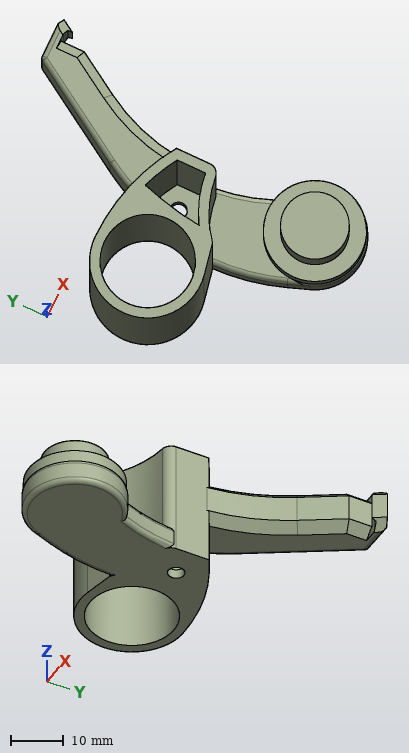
import cadquery as cq
import math


tube_radius = 11.0
bore_radius = 9.0
body_height = 24.5
wall = 2.0
body_end_x = 22.0
body_top_radius = 40.0
body_top_center = (0.0, tube_radius - body_top_radius)
body_flat_angle = math.radians(11.2)
waist_x = 8.46
scoop_center = (22.1, -24.7)
scoop_radius = 20.2
body_corner_radius = 2.0

pocket_floor = 2.0
pocket_side_center = (74.85, -13.1)
pocket_side_radius = 64.9
screw_hole_radius = 1.65
screw_hole_center = (15.55, 0.95)

outer_edge_center = (53.04, -8.51)
outer_edge_radius = 44.65
inner_edge_center = (60.2, 0.15)
inner_edge_radius = 38.4
edge_round = 1.0

arm_thickness = 5.0
stud_center = (22.0, -24.5)
foot_radius = 10.0
arm_inner_end_y = -17.0
flange_radius = 9.75
flange_top = 7.5
stud_radius = 6.5
stud_top = 12.5

latch_bottom = 9.75
latch_thickness = 9.5
latch_angle = math.radians(58.2)
latch_end_y = 35.47
latch_inner_x = 32.75
latch_chamfer = 2.0
hook_thickness = 1.85
hook_bend_x = 33.8
barb_root = (35.05, 33.3)
barb_point = (35.15, 32.35)
hook_tip = (36.71, 34.85)
hook_slope_x = 35.2


def point_on_circle(center, radius, angle):
    """Point of a circle at an angle measured from +X."""
    return (center[0] + radius * math.cos(angle), center[1] + radius * math.sin(angle))


def left_side_at_y(center, radius, y):
    """Point on the -X half of a circle at the given Y."""
    return (center[0] - math.sqrt(radius**2 - (y - center[1]) ** 2), y)


def upper_side_at_x(center, radius, x):
    """Point on the +Y half of a circle at the given X."""
    return (x, center[1] + math.sqrt(radius**2 - (x - center[0]) ** 2))


def circle_crossing(center_a, radius_a, center_b, radius_b, side):
    """Crossing of two circles, left (+1) or right (-1) of the line from a to b."""
    distance = math.dist(center_a, center_b)
    heading = math.atan2(center_b[1] - center_a[1], center_b[0] - center_a[0])
    cosine = (radius_a**2 + distance**2 - radius_b**2) / (2 * radius_a * distance)
    return point_on_circle(center_a, radius_a, heading + side * math.acos(cosine))


def arc_middle(center, radius, start, end):
    """Middle of the shorter arc between two points of a circle."""
    x = (start[0] + end[0]) / 2 - center[0]
    y = (start[1] + end[1]) / 2 - center[1]
    return point_on_circle(center, radius, math.atan2(y, x))


def arc_to(sketch, center, radius, start, end):
    """Extend an outline by the arc from start to end about center."""
    return sketch.threePointArc(arc_middle(center, radius, start, end), end)


def line_middle(start, end):
    """Middle of a straight line."""
    return ((start[0] + end[0]) / 2, (start[1] + end[1]) / 2)


def edges_at(solid, plan_points, heights):
    """Select the edges of a solid that pass through plan points at given heights."""
    picked = []
    for x, y in plan_points:
        for z in heights:
            picked += solid.edges(cq.NearestToPointSelector((x, y, z))).vals()
    return solid.newObject(picked)


def disc(center, radius, height):
    """Upright cylinder standing on the underside."""
    return cq.Workplane("XY").center(*center).circle(radius).extrude(height)


def make_body():
    """Tube drawn out to a blunt end by a curved top edge and a scooped lower edge."""
    crown = (0.0, tube_radius)
    tangent = point_on_circle((0, 0), tube_radius, body_flat_angle - math.pi / 2)
    waist = (waist_x, tangent[1] + (waist_x - tangent[0]) * math.tan(body_flat_angle))
    end_low = upper_side_at_x(scoop_center, scoop_radius, body_end_x)
    end_high = upper_side_at_x(body_top_center, body_top_radius, body_end_x)

    outline = cq.Workplane("XY").moveTo(*crown).threePointArc((-tube_radius, 0), tangent).lineTo(*waist)
    outline = arc_to(outline, scoop_center, scoop_radius, waist, end_low).lineTo(*end_high)
    outline = arc_to(outline, body_top_center, body_top_radius, end_high, crown)
    body = outline.close().extrude(body_height)
    return edges_at(body, [end_low], [body_height / 2]).fillet(body_corner_radius)


def make_pocket():
    """Pocket one wall thickness inside the body outline."""
    top_radius = body_top_radius - wall
    low_radius = scoop_radius + wall
    end_x = body_end_x - wall
    high_left = circle_crossing(pocket_side_center, pocket_side_radius, body_top_center, top_radius, -1)
    low_left = circle_crossing(pocket_side_center, pocket_side_radius, scoop_center, low_radius, -1)
    high_right = upper_side_at_x(body_top_center, top_radius, end_x)
    low_right = upper_side_at_x(scoop_center, low_radius, end_x)

    outline = cq.Workplane("XY").workplane(offset=pocket_floor).moveTo(*low_left)
    outline = arc_to(outline, scoop_center, low_radius, low_left, low_right).lineTo(*high_right)
    outline = arc_to(outline, body_top_center, top_radius, high_right, high_left)
    outline = arc_to(outline, pocket_side_center, pocket_side_radius, high_left, low_left)
    return outline.close().extrude(body_height)


def make_foot_arm():
    """Curved arm whose outer edge runs straight into the round foot."""
    dx = stud_center[0] - outer_edge_center[0]
    dy = stud_center[1] - outer_edge_center[1]
    spread = math.acos((outer_edge_radius - foot_radius) / math.hypot(dx, dy))
    normal = math.atan2(dy, dx) - spread
    outer_start = left_side_at_y(outer_edge_center, outer_edge_radius, 0)
    outer_end = point_on_circle(outer_edge_center, outer_edge_radius, normal)
    foot_start = point_on_circle(stud_center, foot_radius, normal)
    inner_end = left_side_at_y(inner_edge_center, inner_edge_radius, arm_inner_end_y)
    inner_start = left_side_at_y(inner_edge_center, inner_edge_radius, 0)

    outline = cq.Workplane("XY").moveTo(*outer_start)
    outline = arc_to(outline, outer_edge_center, outer_edge_radius, outer_start, outer_end)
    outline = outline.lineTo(*foot_start).lineTo(*inner_end)
    outline = arc_to(outline, inner_edge_center, inner_edge_radius, inner_end, inner_start)
    arm = outline.close().extrude(arm_thickness)

    rounded = [
        arc_middle(outer_edge_center, outer_edge_radius, outer_start, outer_end),
        line_middle(outer_end, foot_start),
        arc_middle(inner_edge_center, inner_edge_radius, inner_start, inner_end),
    ]
    return edges_at(arm, rounded, (0, arm_thickness)).fillet(edge_round)


def make_stud():
    """Round foot, flange and stud; the foot's upper round ends at the flange rim."""
    round_center_r = foot_radius - edge_round
    round_low = arm_thickness - math.sqrt(edge_round**2 - (flange_radius - round_center_r) ** 2)
    half_angle = math.asin((arm_thickness - round_low) / edge_round) / 2
    round_mid = point_on_circle((round_center_r, round_low), edge_round, half_angle)
    base_mid = point_on_circle((round_center_r, edge_round), edge_round, -math.pi / 4)

    profile = (
        cq.Workplane("XZ")
        .lineTo(round_center_r, 0)
        .threePointArc(base_mid, (foot_radius, edge_round))
        .lineTo(foot_radius, round_low)
        .threePointArc(round_mid, (flange_radius, arm_thickness))
        .lineTo(flange_radius, flange_top)
        .lineTo(stud_radius, flange_top)
        .lineTo(stud_radius, stud_top)
        .lineTo(0, stud_top)
        .close()
    )
    return profile.revolve(360, (0, 0), (0, 1)).translate((*stud_center, 0))


def make_latch_arm():
    """Curved then straight arm ending in a barbed hook."""
    slope = math.tan(latch_angle)
    normal = latch_angle + math.pi / 2
    outer_start = left_side_at_y(outer_edge_center, outer_edge_radius, 0)
    outer_bend = point_on_circle(outer_edge_center, outer_edge_radius, normal)
    outer_corner = (outer_bend[0] + (latch_end_y - outer_bend[1]) / slope, latch_end_y)
    inner_start = left_side_at_y(inner_edge_center, inner_edge_radius, 0)
    inner_bend = point_on_circle(inner_edge_center, inner_edge_radius, normal)
    inner_corner = (latch_inner_x, inner_bend[1] + (latch_inner_x - inner_bend[0]) * slope)
    under_y = latch_end_y - hook_thickness

    outline = cq.Workplane("XY").workplane(offset=latch_bottom).moveTo(*outer_start)
    outline = arc_to(outline, outer_edge_center, outer_edge_radius, outer_start, outer_bend)
    outline = outline.lineTo(*outer_corner).lineTo(hook_slope_x, latch_end_y).lineTo(*hook_tip)
    outline = outline.lineTo(*barb_point).lineTo(*barb_root)
    outline = outline.lineTo(hook_bend_x, under_y).lineTo(latch_inner_x, under_y)
    outline = outline.lineTo(*inner_corner).lineTo(*inner_bend)
    outline = arc_to(outline, inner_edge_center, inner_edge_radius, inner_bend, inner_start)
    arm = outline.close().extrude(latch_thickness)

    faces_z = (latch_bottom, latch_bottom + latch_thickness)
    chamfered = [
        arc_middle(inner_edge_center, inner_edge_radius, inner_start, inner_bend),
        line_middle(inner_bend, inner_corner),
        line_middle(inner_corner, (latch_inner_x, under_y)),
        line_middle(barb_point, hook_tip),
    ]
    rounded = [
        arc_middle(outer_edge_center, outer_edge_radius, outer_start, outer_bend),
        line_middle(outer_bend, outer_corner),
        line_middle(outer_corner, (hook_slope_x, latch_end_y)),
    ]
    arm = edges_at(arm, [outer_corner], [latch_bottom + latch_thickness / 2]).fillet(edge_round)
    arm = edges_at(arm, chamfered, faces_z).chamfer(latch_chamfer)
    return edges_at(arm, rounded, faces_z).fillet(edge_round)


result = make_body().union(make_foot_arm()).union(make_stud()).union(make_latch_arm())
result = result.cut(make_pocket())
result = result.cut(disc((0, 0), bore_radius, body_height))
result = result.cut(disc(screw_hole_center, screw_hole_radius, body_height))